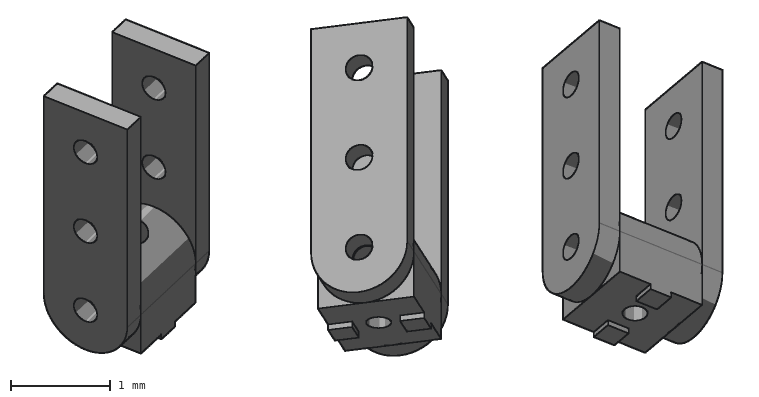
import cadquery as cq

total_height = 3.06
width = 1.0
total_depth = 1.5
pad_height = 0.06
pad_size = 0.25
plate_hole_diameter = 0.278
plate_hole_count = 3
cross_bore_diameter = 0.257
screw_hole_diameter = 0.25
counterbore_diameter = 0.405
counterbore_depth = 0.3
screw_hole_offset_y = 0.03

end_radius = width / 2
block_depth = width
plate_thickness = (total_depth - block_depth) / 2
plate_top = total_height - pad_height - end_radius
hole_pitch = width


def cylinder_along_y(diameter, length, z=0):
    """Cylinder centred on Y = 0, with its axis at height z."""
    return (
        cq.Workplane("XZ")
        .center(0, z)
        .circle(diameter / 2)
        .extrude(length / 2, both=True)
    )


def make_plate(center_y):
    """Side plate with a rounded lower end and a row of holes."""
    plate = (
        cq.Workplane("XZ")
        .moveTo(-end_radius, plate_top)
        .lineTo(-end_radius, 0)
        .threePointArc((0, -end_radius), (end_radius, 0))
        .lineTo(end_radius, plate_top)
        .close()
        .extrude(plate_thickness / 2, both=True)
    )
    for index in range(plate_hole_count):
        plate = plate.cut(cylinder_along_y(plate_hole_diameter, plate_thickness, index * hole_pitch))
    return plate.translate((0, center_y, 0))


def make_block():
    """Middle block with a round top, two feet pads and two crossing bores."""
    block = (
        cq.Workplane("XZ")
        .moveTo(-end_radius, -end_radius)
        .lineTo(end_radius, -end_radius)
        .lineTo(end_radius, 0)
        .threePointArc((0, end_radius), (-end_radius, 0))
        .close()
        .extrude(block_depth / 2, both=True)
    )

    pad_center_x = (width - pad_size) / 2
    pads = (
        cq.Workplane("XY", origin=(0, 0, -end_radius))
        .pushPoints([(-pad_center_x, 0), (pad_center_x, 0)])
        .rect(pad_size, pad_size)
        .extrude(-pad_height)
    )
    block = block.union(pads)

    block = block.cut(cylinder_along_y(cross_bore_diameter, block_depth))

    screw_hole = (
        cq.Workplane("XY", origin=(0, screw_hole_offset_y, -end_radius))
        .circle(screw_hole_diameter / 2)
        .extrude(width)
    )
    counterbore = (
        cq.Workplane("XY", origin=(0, screw_hole_offset_y, end_radius))
        .circle(counterbore_diameter / 2)
        .extrude(-counterbore_depth)
    )
    return block.cut(screw_hole).cut(counterbore)


block = make_block()
plate_center_y = (block_depth + plate_thickness) / 2
plates = [make_plate(side * plate_center_y) for side in (-1, 1)]

result = cq.Compound.makeCompound([block.val(), *[plate.val() for plate in plates]])